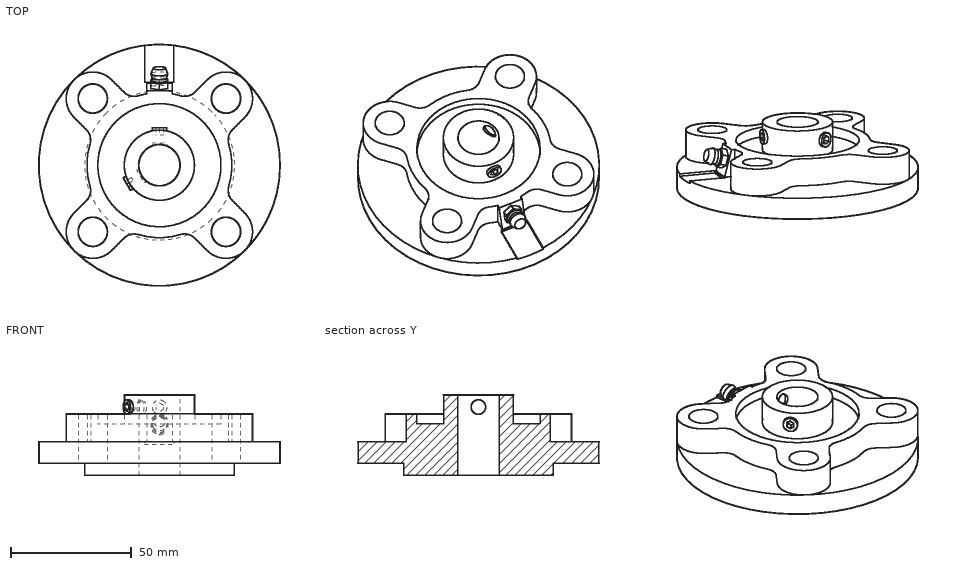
import cadquery as cq
import math

spigot_height = 5.0
flange_top = 14.0
carrier_top = 25.5
hub_top = 33.3
pocket_floor = 21.4

flange_diameter = 99.9
spigot_diameter = 62.0
waist_diameter = 60.0
pocket_diameter = 51.0
hub_diameter = 29.1
bore_diameter = 17.0

ear_count = 4
first_ear_angle = 45
bolt_circle_diameter = 77.9
bolt_hole_diameter = 12.0
ear_radius = (flange_diameter - bolt_circle_diameter) / 2
waist_fillet = 6.0

boss_width = 10.5
boss_reach = 30.9
recess_width = 12.0
recess_depth = 1.0
fitting_tilt = 15.0
recess_floor = flange_top - recess_depth
boss_foot = boss_reach + (carrier_top - recess_floor) * math.tan(math.radians(fitting_tilt))

fitting_height = 20.5
fitting_diameter = 7.0
fitting_neck_diameter = 6.0
fitting_tip_diameter = 5.0
fitting_hex_length = 2.5
fitting_collar_end = 3.1
fitting_neck = 4.0
fitting_bulge = 5.8
fitting_length = 8.2

screw_directions = (90, 210)
screw_diameter = 6.0
screw_height = 28.3
screw_inner_end = 9.2
screw_outer_end = 15.6
socket_flats = 3.0
socket_depth = 3.0


def disc(diameter, bottom, top):
    """Solid cylinder on the Z axis between two heights."""
    return cq.Workplane("XY").workplane(offset=bottom).circle(diameter / 2).extrude(top - bottom)


def hexagon_corners(across_flats):
    """Corner-to-corner diameter of a hexagon."""
    return across_flats / math.cos(math.radians(30))


def ear_centres(workplane):
    """Put the ear centres on the workplane stack."""
    return workplane.polarArray(bolt_circle_diameter / 2, first_ear_angle, 360, ear_count)


def make_carrier():
    """Round waist with four straight-sided ears, blended by fillets."""
    height = carrier_top - flange_top
    base = cq.Workplane("XY").workplane(offset=flange_top)
    carrier = disc(waist_diameter, flange_top, carrier_top)
    for angle in (first_ear_angle, first_ear_angle + 90):
        arm = base.transformed(rotate=(0, 0, angle)).rect(bolt_circle_diameter, 2 * ear_radius)
        carrier = carrier.union(arm.extrude(height))
    waist_radius = waist_diameter / 2
    inner_corners = cq.selectors.BoxSelector(
        (-waist_radius, -waist_radius, flange_top),
        (waist_radius, waist_radius, carrier_top),
    )
    carrier = carrier.edges("|Z").edges(inner_corners).fillet(waist_fillet)
    return carrier.union(ear_centres(base).circle(ear_radius).extrude(height))


def make_flange_recess():
    """Shallow cut in the flange top, from the foot of the boss out through the rim."""
    length = flange_diameter / 2 - boss_foot
    return cq.Workplane("XY").box(
        recess_width, length, recess_depth, centered=(True, False, False)
    ).translate((0, boss_foot, recess_floor))


def make_fitting_boss():
    """Block with a sloped face, square to the grease fitting."""
    inner_face = (pocket_diameter + waist_diameter) / 4
    profile = [
        (inner_face, recess_floor),
        (boss_foot, recess_floor),
        (boss_reach, carrier_top),
        (inner_face, carrier_top),
    ]
    return cq.Workplane("YZ").polyline(profile).close().extrude(boss_width / 2, both=True)


def make_grease_fitting():
    """Hexagon base and turned nipple, tilted up from the +Y direction."""
    tilt = math.radians(fitting_tilt)
    face_y = boss_reach + (carrier_top - fitting_height) * math.tan(tilt)
    seat = cq.Plane(
        origin=(0, face_y, fitting_height),
        xDir=(0, -math.sin(tilt), math.cos(tilt)),
        normal=(0, math.cos(tilt), math.sin(tilt)),
    )
    hexagon = cq.Workplane(seat).polygon(6, hexagon_corners(fitting_diameter)).extrude(fitting_hex_length)
    profile = [
        (0, 0),
        (fitting_diameter / 2, 0),
        (fitting_diameter / 2, fitting_collar_end),
        (fitting_neck_diameter / 2, fitting_neck),
        (fitting_diameter / 2, fitting_bulge),
        (fitting_tip_diameter / 2, fitting_length),
        (0, fitting_length),
    ]
    seat_axes = cq.Plane(origin=seat.origin, xDir=seat.xDir, normal=seat.xDir.cross(seat.zDir))
    nipple = cq.Workplane(seat_axes).polyline(profile).close().revolve(360, (0, 0), (0, 1))
    return hexagon.union(nipple)


def screw_plane(direction, radius):
    """Workplane facing outward from the hub at a given distance from the bore axis."""
    angle = math.radians(direction)
    outward = cq.Vector(math.cos(angle), math.sin(angle), 0)
    origin = outward * radius + cq.Vector(0, 0, screw_height)
    return cq.Workplane(cq.Plane(origin=origin, xDir=(0, 0, 1), normal=outward))


def add_set_screw(body, direction):
    """Plain hole open to the bore, filled by a screw with a hexagon socket."""
    hole = screw_plane(direction, 0).circle(screw_diameter / 2).extrude(screw_inner_end)
    screw = (
        screw_plane(direction, screw_inner_end)
        .circle(screw_diameter / 2)
        .extrude(screw_outer_end - screw_inner_end)
    )
    socket = (
        screw_plane(direction, screw_outer_end)
        .polygon(6, hexagon_corners(socket_flats))
        .extrude(-socket_depth)
    )
    return body.cut(hole).union(screw).cut(socket)


body = disc(spigot_diameter, 0, spigot_height)
body = body.union(disc(flange_diameter, spigot_height, flange_top))
body = body.cut(make_flange_recess())

body = body.union(make_carrier())
body = body.union(make_fitting_boss())
body = body.cut(disc(pocket_diameter, pocket_floor, carrier_top))
body = body.cut(ear_centres(cq.Workplane("XY")).circle(bolt_hole_diameter / 2).extrude(carrier_top))

body = body.union(disc(hub_diameter, pocket_floor, hub_top))
body = body.cut(disc(bore_diameter, 0, hub_top))
for screw_direction in screw_directions:
    body = add_set_screw(body, screw_direction)

result = body.union(make_grease_fitting())